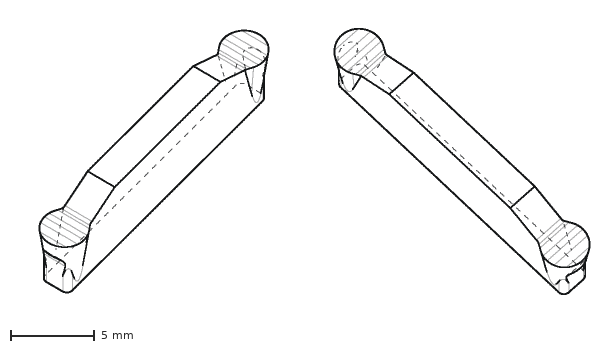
import cadquery as cq
import math

length = 20.69
height = 5.68
nose_radius = 1.503
nose_center = length / 2 - nose_radius
rim_height = 4.56

shank_width = 2.05
end_setback = 0.54
end_face = length / 2 - end_setback
corner_radius = 0.42

clearance_angle = 6.6
flank_angle = 30.0
nose_headroom = 0.2

undercut_start = 2.5
undercut_radius = 1.0

ramp_angle = 25.9
land_angle = -2.2
land_end = -1.12
dish_stations = [
    (-0.50, -0.9),
    (0.0, 0.0),
    (0.40, 0.9),
    (0.90, 0.0),
    (1.12, 0.0),
    (1.40, ramp_angle),
]


def rise(run, start_slope, end_slope):
    """Height gained by an arc whose slope turns from start_slope to end_slope."""
    return run * math.tan(math.radians((start_slope + end_slope) / 2))


def teardrop(radius, z):
    """Nose section: a circle closed by two tangent flanks that meet behind it."""
    tangent_x = radius * math.cos(math.radians(flank_angle))
    tangent_y = nose_center - radius * math.sin(math.radians(flank_angle))
    apex_y = nose_center - radius / math.sin(math.radians(flank_angle))
    return (
        cq.Workplane("XY", origin=(0, 0, z))
        .moveTo(0, apex_y)
        .lineTo(tangent_x, tangent_y)
        .threePointArc((0, nose_center + radius), (-tangent_x, tangent_y))
        .close()
        .wire()
        .val()
    )


def half_shank():
    """Straight shank from the middle to one end face, with rounded end corners."""
    block = cq.Workplane("XY").box(shank_width, end_face, height, centered=(True, False, False))
    return block.edges("|Z and >Y").fillet(corner_radius)


def nose():
    """Conical nose with flat flanks, narrowing downwards at the clearance angle."""
    clearance = math.tan(math.radians(clearance_angle))
    bottom_radius = nose_radius - rim_height * clearance
    top_radius = nose_radius + nose_headroom * clearance
    sections = [teardrop(bottom_radius, 0), teardrop(top_radius, rim_height + nose_headroom)]
    return cq.Workplane(cq.Solid.makeLoft(sections, True))


def half_envelope():
    """Side outline of one half: end face, undercut, dished nose top, ramp and flat top."""
    outer = end_face + undercut_radius
    land_slope = math.tan(math.radians(land_angle))
    outer_z = rim_height - (outer - length / 2) * land_slope
    land_end_z = rim_height + (nose_radius + land_end) * land_slope

    outline = (
        cq.Workplane("YZ")
        .moveTo(0, 0)
        .lineTo(end_face, 0)
        .lineTo(end_face, undercut_start)
        .tangentArcPoint((outer, undercut_start + undercut_radius), relative=False)
        .lineTo(outer, outer_z)
        .lineTo(nose_center - land_end, land_end_z)
    )

    offset, slope, z = land_end, land_angle, land_end_z
    for next_offset, next_slope in dish_stations:
        z += rise(next_offset - offset, slope, next_slope)
        point = (nose_center - next_offset, z)
        if next_slope == slope:
            outline = outline.lineTo(*point)
        else:
            outline = outline.tangentArcPoint(point, relative=False)
        offset, slope = next_offset, next_slope

    ramp_run = (height - z) / math.tan(math.radians(ramp_angle))
    outline = outline.lineTo(nose_center - offset - ramp_run, height).lineTo(0, height).close()
    return outline.extrude(2 * nose_radius, both=True)


half = half_shank().union(nose()).intersect(half_envelope())
result = half.union(half.mirror("XZ"))